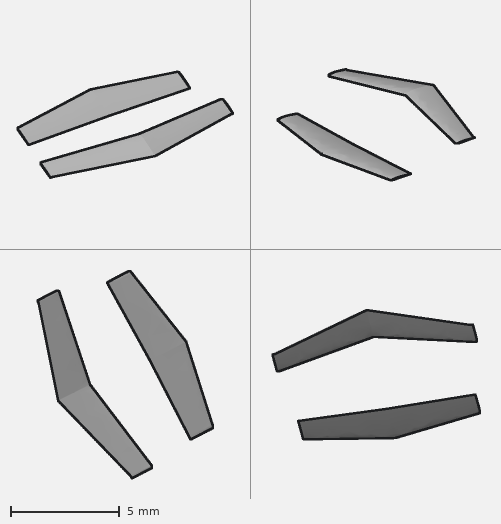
import cadquery as cq
import math

THICKNESS = 0.12
CAMBER = 0.02
CAMBER_PEAK = 0.4
THICKNESS_TERMS = (0.2969, -0.126, -0.3516, 0.2843, -0.1036)
STATIONS = 20

CAP_STEPS = (0.5, 0.8, 1.0)
CAP_END_THICKNESS = 0.4
CAP_NOSE_INSET = 0.08

MAIN_ROOT_NOSE = (0, 0)
MAIN_ROOT_CHORD = 1.89
MAIN_TIP_NOSE = (0.72, -0.01)
MAIN_TIP_CHORD = 1.22
MAIN_INCIDENCE = 1.6
MAIN_CAP_BASE = 3.995
MAIN_HALF_SPAN = 4.155

SWEPT_ROOT_NOSE = (4.98, 1.5)
SWEPT_ROOT_CHORD = 1.66
SWEPT_TIP_NOSE = (4.18, 1.015)
SWEPT_TIP_CHORD = 1.09
SWEPT_ROOT_INCIDENCE = -0.9
SWEPT_TIP_INCIDENCE = 0.6
SWEPT_CAP_BASE = 4.59
SWEPT_HALF_SPAN = 4.7



def surface_height(fraction, side, thickness):
    """Height above the chord line; side is +1 for the upper surface, -1 for the lower."""
    root, linear, square, cube, fourth = THICKNESS_TERMS
    half = 5 * thickness * (
        root * math.sqrt(fraction) + linear * fraction + square * fraction**2
        + cube * fraction**3 + fourth * fraction**4
    )
    run = CAMBER_PEAK if fraction < CAMBER_PEAK else 1 - CAMBER_PEAK
    camber = CAMBER * (1 - ((fraction - CAMBER_PEAK) / run) ** 2)
    return camber + side * half


def aerofoil(nose, chord, incidence, y, thickness=THICKNESS):
    """Closed section wire in the plane at y; its two curves meet at the nose and the trailing edge."""
    angle = math.radians(incidence)

    def place(fraction, side):
        along = chord * fraction
        up = chord * surface_height(fraction, side, thickness)
        x = nose[0] + along * math.cos(angle) + up * math.sin(angle)
        z = nose[1] - along * math.sin(angle) + up * math.cos(angle)
        return cq.Vector(x, y, z)

    fractions = [(1 - math.cos(math.pi * i / STATIONS)) / 2 for i in range(STATIONS + 1)]
    upper = [place(fraction, 1) for fraction in reversed(fractions)]
    lower = [upper[-1]] + [place(fraction, -1) for fraction in fractions[1:-1]] + [upper[0]]
    nose_down = cq.Vector(-math.sin(angle), 0, -math.cos(angle))
    upper_start = (upper[1] - upper[0]).normalized()
    lower_end = (lower[-1] - lower[-2]).normalized()
    upper_edge = cq.Edge.makeSpline(upper, tangents=[upper_start, nose_down], scale=False)
    lower_edge = cq.Edge.makeSpline(lower, tangents=[nose_down, lower_end], scale=False)
    return cq.Wire.assembleEdges([upper_edge, lower_edge])


def tip_cap(nose, chord, incidence, base, end):
    """Cap that thins along an elliptical curve while its leading edge draws back."""
    sections = [aerofoil(nose, chord, incidence, base)]
    for step in CAP_STEPS:
        fade = 1 - math.sqrt(1 - step**2)
        inset = CAP_NOSE_INSET * fade
        thickness = THICKNESS * (1 - (1 - CAP_END_THICKNESS) * fade)
        place = (nose[0] + inset, nose[1])
        y = base + step * (end - base)
        sections.append(aerofoil(place, chord - inset, incidence, y, thickness))
    return cq.Solid.makeLoft(sections)


def wing(root_nose, root_chord, root_incidence, tip_nose, tip_chord, tip_incidence, cap_base, half_span):
    """One solid: a tapered panel and cap, joined to their mirror image across y = 0."""
    root = aerofoil(root_nose, root_chord, root_incidence, 0)
    tip = aerofoil(tip_nose, tip_chord, tip_incidence, cap_base)
    panel = cq.Workplane(obj=cq.Solid.makeLoft([root, tip], True))
    half = panel.union(cq.Workplane(obj=tip_cap(tip_nose, tip_chord, tip_incidence, cap_base, half_span)))
    return half.union(half.mirror("XZ")).solids()


main_wing = wing(
    MAIN_ROOT_NOSE, MAIN_ROOT_CHORD, MAIN_INCIDENCE,
    MAIN_TIP_NOSE, MAIN_TIP_CHORD, MAIN_INCIDENCE,
    MAIN_CAP_BASE, MAIN_HALF_SPAN,
)

swept_wing = wing(
    SWEPT_ROOT_NOSE, SWEPT_ROOT_CHORD, SWEPT_ROOT_INCIDENCE,
    SWEPT_TIP_NOSE, SWEPT_TIP_CHORD, SWEPT_TIP_INCIDENCE,
    SWEPT_CAP_BASE, SWEPT_HALF_SPAN,
)

result = cq.Compound.makeCompound([main_wing.val(), swept_wing.val()])